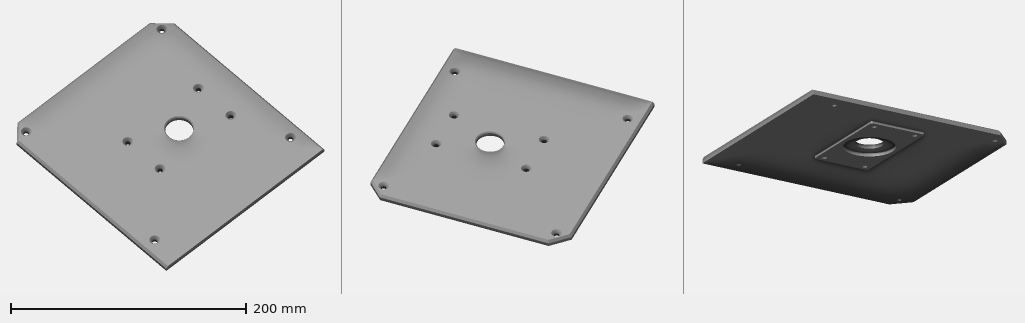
import cadquery as cq

length = 200.0
width = 185.0
thickness = 5.0
corner_cut = 15.0
bevel = 2.0

pad_length_x = 53.0
pad_length_y = 95.5
pad_height = 2.0
pad_corner = 2.0
pad_y = 17.5

bore_diameter = 24.0
bore_rim_diameter = 26.0
recess_diameter = 45.0
recess_depth = 3.0
screw_diameter = 4.5
sink_diameter = 9.2
countersink_angle = 90.0
mount_spacing = 159.0
mount_inset = 13.0
mount_x = -length / 2 + mount_inset + mount_spacing / 2
pad_screw_spacing_x = 40.0
pad_screw_spacing_y = 82.8


def make_plate():
    """Plate with two cut corners at -X and a bevelled top, square at +X."""
    plate = cq.Workplane("XY").box(length, width, thickness, centered=(True, True, False))
    plate = plate.edges("|Z and <X").chamfer(corner_cut)
    bevelled_edges = plate.faces(">Z").edges("not(>X)")
    return bevelled_edges.chamfer(bevel)


def make_pad():
    """Rectangular pad with rounded corners, hanging below the plate."""
    pad = cq.Workplane("XY").center(0, pad_y).rect(pad_length_x, pad_length_y)
    return pad.extrude(-pad_height).edges("|Z").fillet(pad_corner)


def drill_screws(body, center, spacing_x, spacing_y):
    """Four countersunk through holes in a rectangle around center."""
    top = body.faces(">Z").workplane(origin=(*center, thickness))
    points = top.rect(spacing_x, spacing_y, forConstruction=True).vertices()
    return points.cskHole(screw_diameter, sink_diameter, countersink_angle)


def drill_bore(body):
    """Large through hole with a chamfered top rim."""
    top = body.faces(">Z").workplane(origin=(0, pad_y, thickness))
    return top.cskHole(bore_diameter, bore_rim_diameter, countersink_angle)


def cut_recess(body):
    """Round recess in the underside of the pad, around the bore."""
    recess = cq.Workplane("XY").workplane(offset=-pad_height).center(0, pad_y)
    return body.cut(recess.circle(recess_diameter / 2).extrude(recess_depth))


result = make_plate().union(make_pad())
result = drill_screws(result, (mount_x, 0), mount_spacing, mount_spacing)
result = drill_screws(result, (0, pad_y), pad_screw_spacing_x, pad_screw_spacing_y)
result = drill_bore(result)
result = cut_recess(result)